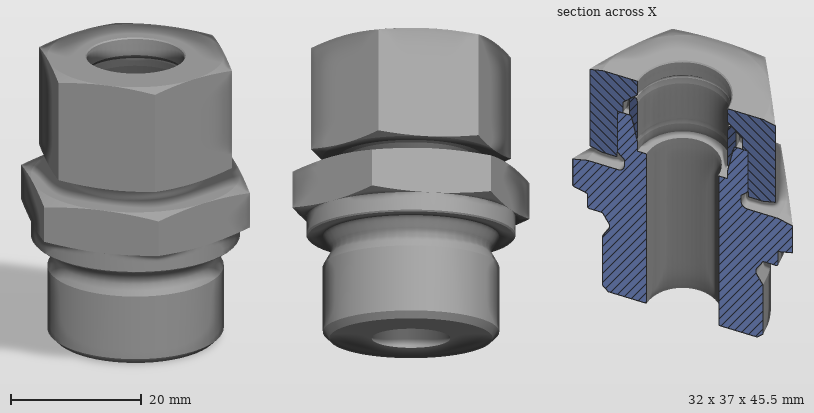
import cadquery as cq
import math


TOTAL_HEIGHT = 45.5
STUD_TOP = 11.25
COLLAR_BOTTOM = 16.0
HEX_BOTTOM = 19.0
HEX_TOP = 26.0
NECK_TOP = 28.4
NUT_BOTTOM = 28.5
SPIGOT_TOP = 38.05
TUBE_STOP = 31.05

BODY_HEX_CORNERS = 36.95
BODY_HEX_FLATS = BODY_HEX_CORNERS * math.cos(math.radians(30))
COLLAR_DIAMETER = 32.0
COLLAR_CHAMFER = 0.25
STUD_DIAMETER = 27.0
STUD_CHAMFER = 1.0
GROOVE_SLOPE = math.radians(30)
GROOVE_ARC_RADIUS = 1.25
NECK_DIAMETER = 19.7
NECK_FILLET_RADIUS = 1.0
SPIGOT_DIAMETER = 22.0
PASSAGE_DIAMETER = 12.0
TUBE_DIAMETER = 15.0
SEAT_MOUTH_DIAMETER = 17.3
SEAT_SLOPE = math.radians(12)

NUT_FLATS = 27.0
NUT_MOUTH_CHAMFER = 0.2
NUT_LIP_HEIGHT = 2.8
NUT_CAVITY_DIAMETER = 20.0

RING_DIAMETER = 18.0
RING_TOP = TOTAL_HEIGHT - 3.55
RING_BOTTOM = TOTAL_HEIGHT - 11.85
RING_LEAD_WIDTH = 0.25
RING_LEAD_HEIGHT = 1.0

HEX_CHAMFER_SLOPE = math.radians(15)

CONE_START = TOTAL_HEIGHT - NUT_LIP_HEIGHT


def cone_radius(height):
    """Radius of the nut's internal 45 degree cone at a height."""
    return TUBE_DIAMETER / 2 + CONE_START - height


def cone_height(diameter):
    """Height at which the nut's internal 45 degree cone has a diameter."""
    return CONE_START - (diameter - TUBE_DIAMETER) / 2


def seat_radius(height):
    """Radius of the body's conical ring seat at a height."""
    return SEAT_MOUTH_DIAMETER / 2 - (SPIGOT_TOP - height) * math.tan(SEAT_SLOPE)


def revolve_points(points):
    """Solid of revolution about Z from (radius, height) points."""
    return cq.Workplane("XZ").polyline(points).close().revolve(360, (0, 0, 0), (0, 1, 0))


def cylinder(diameter, bottom, top):
    return cq.Workplane("XY").workplane(offset=bottom).circle(diameter / 2).extrude(top - bottom)


def chamfered_hex(flats, bottom, top):
    """Hexagonal prism with flats facing +X and -X and both ends turned to a shallow cone."""
    flat_radius = flats / 2
    corner_radius = flat_radius / math.cos(math.radians(30))
    drop = (corner_radius - flat_radius) * math.tan(HEX_CHAMFER_SLOPE)
    prism = (
        cq.Workplane("XY")
        .workplane(offset=bottom)
        .polygon(6, 2 * corner_radius)
        .extrude(top - bottom)
        .rotate((0, 0, 0), (0, 0, 1), 30)
    )
    turned_blank = revolve_points([
        (0, bottom),
        (flat_radius, bottom),
        (corner_radius, bottom + drop),
        (corner_radius, top - drop),
        (flat_radius, top),
        (0, top),
    ])
    return prism.intersect(turned_blank)


def make_stud():
    """Lower stud with an end chamfer and a round-bottomed V groove under the collar."""
    radius = STUD_DIAMETER / 2
    groove_middle = (STUD_TOP + COLLAR_BOTTOM) / 2
    arc_half_height = GROOVE_ARC_RADIUS * math.sin(GROOVE_SLOPE)
    flank_height = groove_middle - arc_half_height - STUD_TOP
    arc_end_radius = radius - flank_height * math.tan(GROOVE_SLOPE)
    groove_floor_radius = arc_end_radius - GROOVE_ARC_RADIUS * (1 - math.cos(GROOVE_SLOPE))
    return (
        cq.Workplane("XZ")
        .moveTo(0, 0)
        .lineTo(radius - STUD_CHAMFER, 0)
        .lineTo(radius, STUD_CHAMFER)
        .lineTo(radius, STUD_TOP)
        .lineTo(arc_end_radius, groove_middle - arc_half_height)
        .threePointArc(
            (groove_floor_radius, groove_middle),
            (arc_end_radius, groove_middle + arc_half_height),
        )
        .lineTo(radius, COLLAR_BOTTOM)
        .lineTo(0, COLLAR_BOTTOM)
        .close()
        .revolve(360, (0, 0, 0), (0, 1, 0))
    )


def make_collar():
    return cylinder(COLLAR_DIAMETER, COLLAR_BOTTOM, HEX_BOTTOM).faces("<Z").chamfer(COLLAR_CHAMFER)


def make_neck_and_spigot():
    """Neck with a fillet at its foot, and a 45 degree cone up to the wider spigot in the nut."""
    neck_radius = NECK_DIAMETER / 2
    spigot_radius = SPIGOT_DIAMETER / 2
    cone_top = NECK_TOP + spigot_radius - neck_radius
    return (
        cq.Workplane("XZ")
        .moveTo(0, SPIGOT_TOP)
        .lineTo(spigot_radius, SPIGOT_TOP)
        .lineTo(spigot_radius, cone_top)
        .lineTo(neck_radius, NECK_TOP)
        .lineTo(neck_radius, HEX_TOP + NECK_FILLET_RADIUS)
        .tangentArcPoint((neck_radius + NECK_FILLET_RADIUS, HEX_TOP), relative=False)
        .lineTo(0, HEX_TOP)
        .close()
        .revolve(360, (0, 0, 0), (0, 1, 0))
    )


def make_body_bore():
    """Through passage, tube socket and conical ring seat."""
    seat_length = (SEAT_MOUTH_DIAMETER - TUBE_DIAMETER) / 2 / math.tan(SEAT_SLOPE)
    return revolve_points([
        (0, 0),
        (PASSAGE_DIAMETER / 2, 0),
        (PASSAGE_DIAMETER / 2, TUBE_STOP),
        (TUBE_DIAMETER / 2, TUBE_STOP),
        (TUBE_DIAMETER / 2, SPIGOT_TOP - seat_length),
        (SEAT_MOUTH_DIAMETER / 2, SPIGOT_TOP),
        (0, SPIGOT_TOP),
    ])


def make_body():
    return (
        make_stud()
        .union(make_collar())
        .union(chamfered_hex(BODY_HEX_FLATS, HEX_BOTTOM, HEX_TOP))
        .union(make_neck_and_spigot())
        .cut(make_body_bore())
    )


def make_nut():
    """Hexagonal nut with a tube mouth, a 45 degree cone and a cavity for the spigot."""
    tube_radius = TUBE_DIAMETER / 2
    bore = revolve_points([
        (0, NUT_BOTTOM),
        (SPIGOT_DIAMETER / 2, NUT_BOTTOM),
        (SPIGOT_DIAMETER / 2, SPIGOT_TOP),
        (NUT_CAVITY_DIAMETER / 2, SPIGOT_TOP),
        (NUT_CAVITY_DIAMETER / 2, cone_height(NUT_CAVITY_DIAMETER)),
        (tube_radius, CONE_START),
        (tube_radius, TOTAL_HEIGHT - NUT_MOUTH_CHAMFER),
        (tube_radius + NUT_MOUTH_CHAMFER, TOTAL_HEIGHT),
        (0, TOTAL_HEIGHT),
    ])
    return chamfered_hex(NUT_FLATS, NUT_BOTTOM, TOTAL_HEIGHT).cut(bore)


def make_cutting_ring():
    """Ring held between the nut's cone and the body's seat, with a tapered lead-in."""
    tube_radius = TUBE_DIAMETER / 2
    return revolve_points([
        (tube_radius, RING_BOTTOM),
        (seat_radius(RING_BOTTOM), RING_BOTTOM),
        (SEAT_MOUTH_DIAMETER / 2, SPIGOT_TOP),
        (RING_DIAMETER / 2, SPIGOT_TOP),
        (RING_DIAMETER / 2, cone_height(RING_DIAMETER)),
        (cone_radius(RING_TOP), RING_TOP),
        (tube_radius + RING_LEAD_WIDTH, RING_TOP),
        (tube_radius, RING_TOP - RING_LEAD_HEIGHT),
    ])


body = make_body()
nut = make_nut()
cutting_ring = make_cutting_ring()

result = cq.Compound.makeCompound([body.val(), nut.val(), cutting_ring.val()])